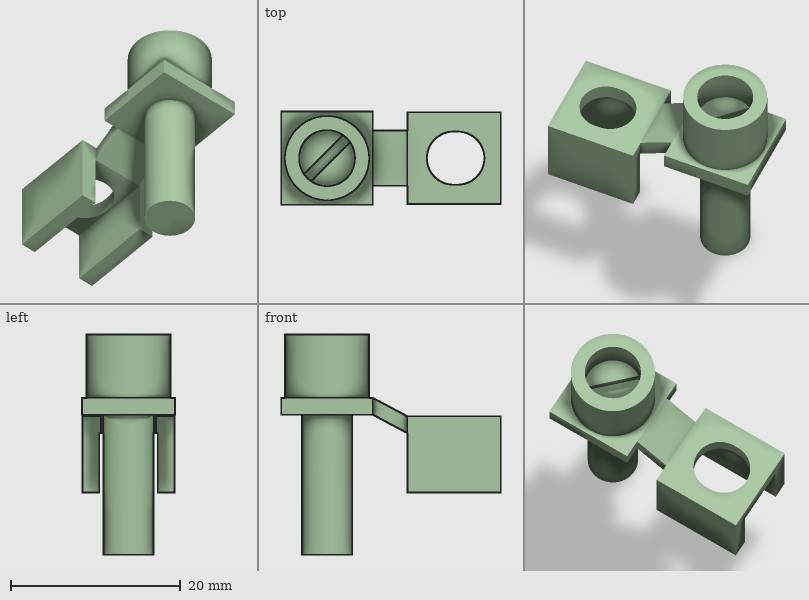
import cadquery as cq

total_height = 26.0
strip_thickness = 2.0

stem_diameter = 5.95

collar_height = 7.5
collar_diameter = 9.93
bore_diameter = 6.6
plate_length = 10.82
plate_width = 11.0
plate_left = -5.4
plate_right = plate_left + plate_length
plate_top = total_height - collar_height
plate_bottom = plate_top - strip_thickness

head_depth = 4.05
slot_width = 1.2
slot_depth = 1.0
slot_angle = 45

arm_width = 6.55
arm_run = 4.05
arm_drop = 2.15

saddle_length = 11.02
saddle_width = 10.87
saddle_height = 9.02
saddle_left = plate_right + arm_run
saddle_top = plate_top - arm_drop
saddle_center = saddle_left + saddle_length / 2
saddle_hole_length = 6.75
saddle_hole_width = 6.25
hole_offset = 0.18


def cylinder(diameter, bottom, top):
    """Upright cylinder on the screw axis."""
    return cq.Workplane("XY").workplane(offset=bottom).circle(diameter / 2).extrude(top - bottom)


def block(length, width, bottom, top, center_x):
    """Upright rectangular block centred across Y."""
    base = cq.Workplane("XY").workplane(offset=bottom).center(center_x, 0)
    return base.rect(length, width).extrude(top - bottom)


def make_clamp():
    """Stem, plate and collar, with a slotted screw head recessed in the bore."""
    head_top = total_height - head_depth
    stem = cylinder(stem_diameter, 0, plate_top)
    plate = block(plate_length, plate_width, plate_bottom, plate_top, (plate_left + plate_right) / 2)
    collar = cylinder(collar_diameter, plate_top, total_height)
    bore = cylinder(bore_diameter, head_top, total_height)
    driver_slot = block(bore_diameter, slot_width, head_top - slot_depth, head_top, 0)
    driver_slot = driver_slot.rotate((0, 0, 0), (0, 0, 1), slot_angle)
    driver_slot = driver_slot.intersect(cylinder(bore_diameter, 0, total_height))
    return stem.union(plate).union(collar).cut(bore).cut(driver_slot)


def make_arm():
    """Sloping strip from the plate edge down to the saddle web."""
    return (
        cq.Workplane("XZ")
        .moveTo(plate_right, plate_bottom)
        .lineTo(plate_right, plate_top)
        .lineTo(saddle_left, saddle_top)
        .lineTo(saddle_left, saddle_top - strip_thickness)
        .close()
        .extrude(arm_width / 2, both=True)
    )


def make_saddle():
    """Horizontal web with two side walls hanging down and a hole through the web."""
    saddle_bottom = saddle_top - saddle_height
    web_bottom = saddle_top - strip_thickness
    inner_width = saddle_width - 2 * strip_thickness
    body = block(saddle_length, saddle_width, saddle_bottom, saddle_top, saddle_center)
    channel = block(saddle_length, inner_width, saddle_bottom, web_bottom, saddle_center)
    hole = (
        cq.Workplane("XY")
        .workplane(offset=web_bottom)
        .center(saddle_center + hole_offset, 0)
        .slot2D(saddle_hole_length, saddle_hole_width)
        .extrude(strip_thickness)
    )
    return body.cut(channel).cut(hole)


result = make_clamp().union(make_arm()).union(make_saddle())